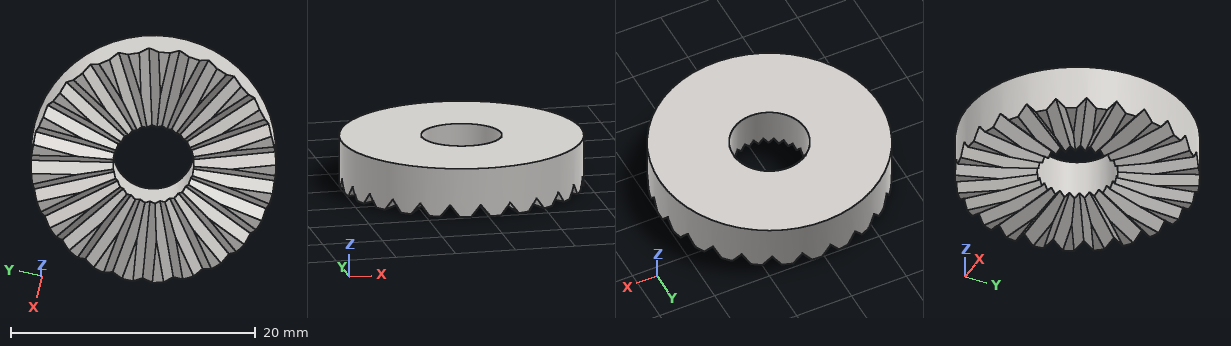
import cadquery as cq
import math

outer_diameter = 20.0
bore_diameter = 6.6
thickness = 4.11

tooth_count = 25
notch_depth = 1.0
notch_half_width = 0.79
first_notch_angle = 180.0

outer_radius = outer_diameter / 2
overrun = 1.0


def make_washer():
    """Plain ring standing on z = 0."""
    return (
        cq.Workplane("XY")
        .circle(outer_radius)
        .circle(bore_diameter / 2)
        .extrude(thickness)
    )


def make_notch(angle):
    """V-shaped radial groove running from the axis out past the rim."""
    slope = notch_half_width / notch_depth
    mouth_half_width = slope * (notch_depth + overrun)
    return (
        cq.Workplane("YZ")
        .moveTo(-mouth_half_width, -overrun)
        .lineTo(mouth_half_width, -overrun)
        .lineTo(0, notch_depth)
        .close()
        .extrude(outer_radius + overrun)
        .rotate((0, 0, 0), (0, 0, 1), angle)
    )


result = make_washer()
for index in range(tooth_count):
    result = result.cut(make_notch(first_notch_angle + index * 360.0 / tooth_count))